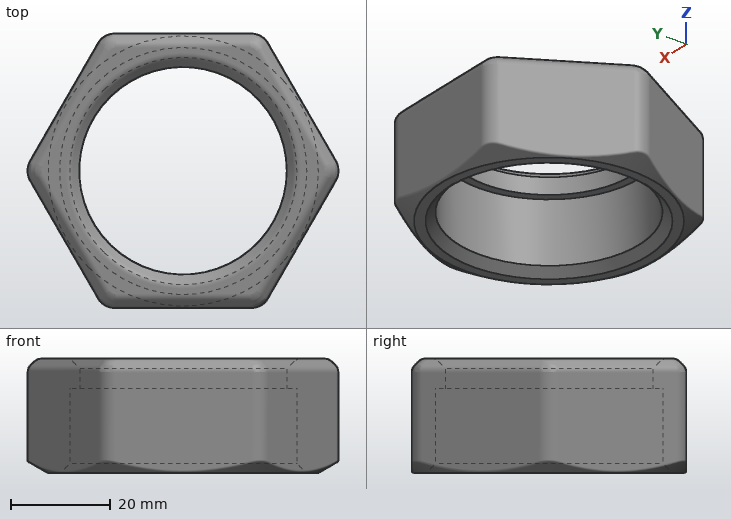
import cadquery as cq
import math

width_across_corners = 62.3
height = 23.0
corner_radius = 4.0
chamfer = 2.0
edge_radius = 2.0
bore_radius = 20.75
counterbore_radius = 22.7
lip_thickness = 6.0
seat_radius = 27.0
seat_angle = 30
seat_edge_radius = 0.5

corner_loss = corner_radius * (1 / math.cos(math.radians(30)) - 1)
sharp_across_corners = width_across_corners + 2 * corner_loss
chamfer_foot = height - chamfer
lip_underside = height - lip_thickness
bore_mouth_radius = bore_radius + chamfer
counterbore_mouth_radius = counterbore_radius + chamfer


def between(low, high):
    """Selector for edges whose centre lies between two heights."""
    reach = sharp_across_corners
    return cq.selectors.BoxSelector((-reach, -reach, low), (reach, reach, high))


def revolve_about_z(profile):
    """Solid of revolution from (radius, height) points."""
    return cq.Workplane("XZ").polyline(profile).close().revolve(360, (0, 0, 0), (0, 1, 0))


def hexagon_body():
    """Hexagonal prism, chamfered on top, with all side and upper edges rounded."""
    prism = cq.Workplane("XY").polygon(6, sharp_across_corners).extrude(height)
    body = prism.faces(">Z").chamfer(chamfer)

    body = body.edges("|Z").fillet(corner_radius)
    slant_low = chamfer_foot + chamfer / 4
    slant_high = height - chamfer / 4
    body = body.edges(between(slant_low, slant_high)).fillet(corner_radius)

    return body.edges(between(chamfer_foot - chamfer / 4, height + chamfer / 4)).fillet(edge_radius)


def seat_envelope():
    """Upward flaring cone that trims the lower hexagon corners to a round seat."""
    rise = height / 2
    flare_radius = seat_radius + rise / math.tan(math.radians(seat_angle))
    return revolve_about_z([
        (0, 0),
        (seat_radius, 0),
        (flare_radius, rise),
        (flare_radius, height),
        (0, height),
    ])


def bore_cutter():
    """Bore through the upper lip and wider counterbore below, chamfered at both mouths."""
    return revolve_about_z([
        (0, 0),
        (counterbore_mouth_radius, 0),
        (counterbore_radius, chamfer),
        (counterbore_radius, lip_underside),
        (bore_radius, lip_underside),
        (bore_radius, chamfer_foot),
        (bore_mouth_radius, height),
        (0, height),
    ])


body = hexagon_body().intersect(seat_envelope())
scallop_low = seat_edge_radius / 4
body = body.edges(between(scallop_low, height / 4)).fillet(seat_edge_radius)

body = body.cut(bore_cutter())
result = body.faces(">Z").edges("%CIRCLE").edges(cq.selectors.RadiusNthSelector(-1)).fillet(edge_radius)